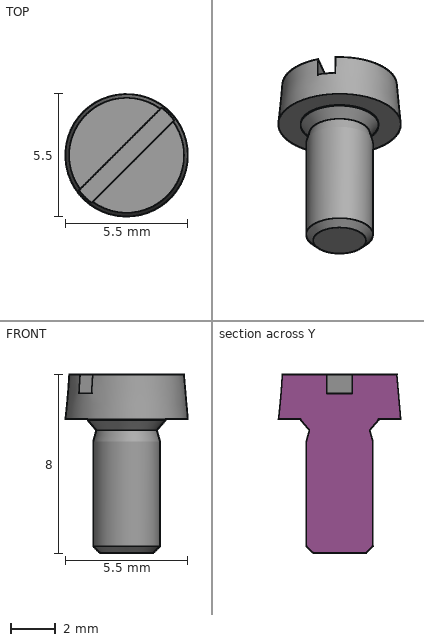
import cadquery as cq
import math

head_diameter = 5.5
head_height = 2.0
head_draft = 5.0
shank_length = 6.0
shank_diameter = 3.0
collar_diameter = 3.5
collar_height = 0.05
neck_diameter = 2.72
neck_half_height = 0.5
tip_diameter = 2.37
tip_chamfer_height = 0.3
slot_width = 0.8
slot_depth = 0.85
slot_angle = 45.0

head_top_radius = head_diameter / 2 - head_height * math.tan(math.radians(head_draft))

profile = [
    (0, -shank_length),
    (tip_diameter / 2, -shank_length),
    (shank_diameter / 2, -shank_length + tip_chamfer_height),
    (shank_diameter / 2, -2 * neck_half_height),
    (neck_diameter / 2, -neck_half_height),
    (collar_diameter / 2, -collar_height),
    (collar_diameter / 2, 0),
    (head_diameter / 2, 0),
    (head_top_radius, head_height),
    (0, head_height),
]
screw = cq.Workplane("XZ").polyline(profile).close().revolve(360, (0, 0), (0, 1))

slot = (
    cq.Workplane("XY", origin=(0, 0, head_height - slot_depth))
    .box(2 * head_diameter, slot_width, 2 * slot_depth, centered=(True, True, False))
    .rotate((0, 0, 0), (0, 0, 1), slot_angle)
)

result = screw.cut(slot)